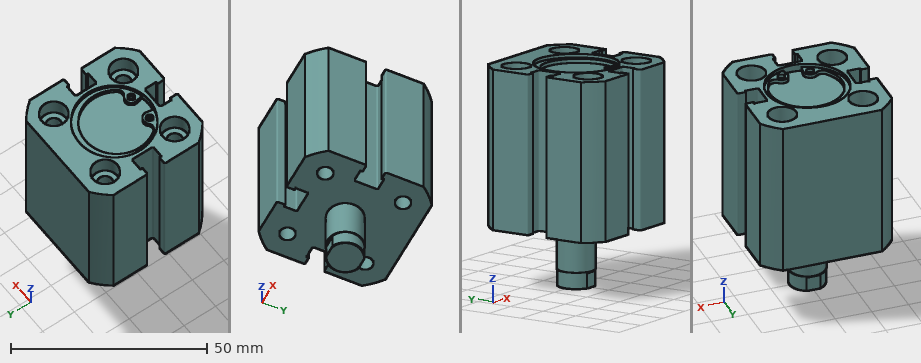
import cadquery as cq
import math

TOTAL_HEIGHT = 58.0
HOUSING_WIDTH = 36.0
ROD_LENGTH = 16.0
HOUSING_HEIGHT = TOTAL_HEIGHT - ROD_LENGTH
CORNER_RADIUS = 22.5

HOLE_OFFSET = 11.0
HOLE_DIAMETER = 4.2
COUNTERBORE_DIAMETER = 7.55
COUNTERBORE_DEPTH = 5.1

SLOT_MOUTH_WIDTH = 5.4
SLOT_INNER_WIDTH = 6.65
SLOT_DEPTH = 5.9
SLOT_LIP_DEPTH = 2.3
SLOT_FLOOR_FILLET = 0.4
SLOT_MOUTH_FILLET = 0.4
SLOT_DIRECTIONS = (180, 270, 0)

RECESS_RADIUS = 11.0
COVER_THICKNESS = 5.0
RING_TOP_DEPTH = 0.9
RING_THICKNESS = 1.05
COVER_TOP_DEPTH = RING_TOP_DEPTH + RING_THICKNESS
RECESS_DEPTH = COVER_TOP_DEPTH + COVER_THICKNESS
RING_INNER_RADIUS = 9.8
RING_INNER_CENTER_Y = -0.75
EAR_X = 3.95
EAR_Y = -8.3
EAR_RADIUS = 1.85
EAR_HOLE_DIAMETER = 2.0
COVER_HOLE_DEPTH = 1.15
EAR_BLEND_RADIUS = 1.75
RING_GAP_HALF_WIDTH = 2.55

ROD_DIAMETER = 10.0
TIP_DIAMETER = 9.8
TIP_LENGTH = 4.35
TIP_CHAMFER = 0.1
FLAT_HEIGHT = 4.0
ACROSS_FLATS = 9.05


def slot_cutter(direction):
    """Full-height T-slot that opens toward the given direction in degrees."""
    face_x = HOUSING_WIDTH / 2
    inner_length = SLOT_DEPTH - SLOT_LIP_DEPTH
    mouth = (
        cq.Workplane("XY")
        .center(face_x - SLOT_LIP_DEPTH / 2, 0)
        .rect(SLOT_LIP_DEPTH, SLOT_MOUTH_WIDTH)
        .extrude(HOUSING_HEIGHT)
    )
    inner = (
        cq.Workplane("XY")
        .center(face_x - SLOT_LIP_DEPTH - inner_length / 2, 0)
        .rect(inner_length, SLOT_INNER_WIDTH)
        .extrude(HOUSING_HEIGHT)
        .edges("|Z and <X")
        .fillet(SLOT_FLOOR_FILLET)
    )
    return mouth.union(inner).rotate((0, 0, 0), (0, 0, 1), direction).translate((0, 0, ROD_LENGTH))


def on_slot_mouth(edge):
    """True for the upright edges where a slot meets the outer faces."""
    center = edge.Center()
    sides = sorted((abs(center.x), abs(center.y)))
    return math.isclose(sides[0], SLOT_MOUTH_WIDTH / 2) and math.isclose(sides[1], HOUSING_WIDTH / 2)


def make_housing():
    base = cq.Workplane("XY").workplane(offset=ROD_LENGTH)
    block = base.rect(HOUSING_WIDTH, HOUSING_WIDTH).extrude(HOUSING_HEIGHT)
    block = block.intersect(base.circle(CORNER_RADIUS).extrude(HOUSING_HEIGHT))
    for direction in SLOT_DIRECTIONS:
        block = block.cut(slot_cutter(direction))
    mouth_edges = [edge for edge in block.edges("|Z").vals() if on_slot_mouth(edge)]
    block = block.newObject(mouth_edges).fillet(SLOT_MOUTH_FILLET)
    top = cq.Workplane("XY").workplane(offset=TOTAL_HEIGHT)
    recess = top.circle(RECESS_RADIUS).extrude(-RECESS_DEPTH)
    return (
        block.cut(recess)
        .faces(">Z")
        .workplane(origin=(0, 0, TOTAL_HEIGHT))
        .rect(2 * HOLE_OFFSET, 2 * HOLE_OFFSET, forConstruction=True)
        .vertices()
        .cboreHole(HOLE_DIAMETER, COUNTERBORE_DIAMETER, COUNTERBORE_DEPTH)
    )


def make_end_cover():
    """Disc that closes the recess below the retaining ring, with clearance holes under its ears."""
    cover_top = cq.Workplane("XY").workplane(offset=TOTAL_HEIGHT - COVER_TOP_DEPTH)
    disc = cover_top.circle(RECESS_RADIUS).extrude(-COVER_THICKNESS)
    clearance_holes = (
        cover_top.pushPoints([(EAR_X, EAR_Y), (-EAR_X, EAR_Y)])
        .circle(EAR_HOLE_DIAMETER / 2)
        .extrude(-COVER_HOLE_DEPTH)
    )
    return disc.cut(clearance_holes)


def point_at(center, radius, angle):
    return (center[0] + radius * math.cos(angle), center[1] + radius * math.sin(angle))


def angle_to(start, end):
    return math.atan2(end[1] - start[1], end[0] - start[0])


def mirrored(point):
    return (-point[0], point[1])


def make_retaining_ring():
    opening = (0, RING_INNER_CENTER_Y)
    ear = (EAR_X, EAR_Y)

    tip = (RING_GAP_HALF_WIDTH, -math.sqrt(RECESS_RADIUS**2 - RING_GAP_HALF_WIDTH**2))
    ear_tangent_angle = angle_to(ear, tip) - math.acos(EAR_RADIUS / math.dist(ear, tip))
    ear_start = point_at(ear, EAR_RADIUS, ear_tangent_angle)

    from_opening = RING_INNER_RADIUS - EAR_BLEND_RADIUS
    from_ear = EAR_RADIUS + EAR_BLEND_RADIUS
    center_distance = math.dist(opening, ear)
    turn = math.acos(
        (from_opening**2 + center_distance**2 - from_ear**2) / (2 * from_opening * center_distance)
    )
    blend = point_at(opening, from_opening, angle_to(opening, ear) + turn)
    ear_end = point_at(ear, EAR_RADIUS, angle_to(ear, blend))
    blend_end = point_at(opening, RING_INNER_RADIUS, angle_to(opening, blend))
    ear_middle = (EAR_X, EAR_Y + EAR_RADIUS)
    blend_middle = point_at(blend, EAR_BLEND_RADIUS, -math.pi / 2)
    opening_top = (0, RING_INNER_CENTER_Y + RING_INNER_RADIUS)

    return (
        cq.Workplane("XY")
        .workplane(offset=TOTAL_HEIGHT - COVER_TOP_DEPTH)
        .moveTo(*tip)
        .lineTo(*ear_start)
        .threePointArc(ear_middle, ear_end)
        .threePointArc(blend_middle, blend_end)
        .threePointArc(opening_top, mirrored(blend_end))
        .threePointArc(mirrored(blend_middle), mirrored(ear_end))
        .threePointArc(mirrored(ear_middle), mirrored(ear_start))
        .lineTo(*mirrored(tip))
        .threePointArc((0, RECESS_RADIUS), tip)
        .close()
        .pushPoints([ear, mirrored(ear)])
        .circle(EAR_HOLE_DIAMETER / 2)
        .extrude(RING_THICKNESS)
    )


def flat_cutter():
    """Cutter for the flat on the +Y side of the tip, with a 45 degree run-out at its upper end."""
    flat_y = ACROSS_FLATS / 2
    run_out = (ROD_DIAMETER - ACROSS_FLATS) / 2
    return (
        cq.Workplane("YZ")
        .moveTo(flat_y, 0)
        .lineTo(flat_y, FLAT_HEIGHT)
        .lineTo(flat_y + run_out, FLAT_HEIGHT + run_out)
        .lineTo(flat_y + run_out, 0)
        .close()
        .extrude(ROD_DIAMETER / 2, both=True)
    )


def make_rod():
    tip = cq.Workplane("XY").circle(TIP_DIAMETER / 2).extrude(TIP_LENGTH).faces("<Z").chamfer(TIP_CHAMFER)
    tip = tip.cut(flat_cutter()).cut(flat_cutter().mirror("XZ"))
    shank = (
        cq.Workplane("XY")
        .workplane(offset=TIP_LENGTH)
        .circle(ROD_DIAMETER / 2)
        .extrude(ROD_LENGTH - TIP_LENGTH)
    )
    return tip.union(shank)


housing = make_housing()
end_cover = make_end_cover()
retaining_ring = make_retaining_ring()
rod = make_rod()

result = cq.Compound.makeCompound(
    [housing.val(), end_cover.val(), retaining_ring.val(), rod.val()]
)